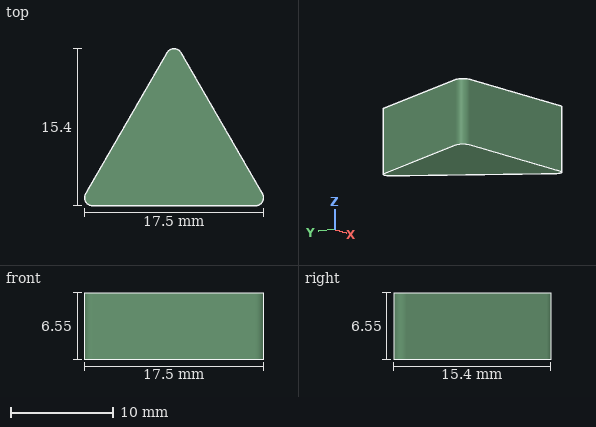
import cadquery as cq
import math

overall_width = 17.53
thickness = 6.55
corner_radius = 0.8

arc_center_spacing = overall_width - 2 * corner_radius
arc_center_circle_radius = arc_center_spacing / math.sqrt(3)

sharp_circle_radius = arc_center_circle_radius + 2 * corner_radius


def sharp_corner(angle_degrees):
    """Corner of the unrounded triangle, measured about its centre on the Z axis."""
    angle = math.radians(angle_degrees)
    return (sharp_circle_radius * math.cos(angle), sharp_circle_radius * math.sin(angle))


corner_angles = (90, 210, 330)
sharp_prism = (
    cq.Workplane("XY")
    .polyline([sharp_corner(angle) for angle in corner_angles])
    .close()
    .extrude(thickness)
)

result = sharp_prism.edges("|Z").fillet(corner_radius)